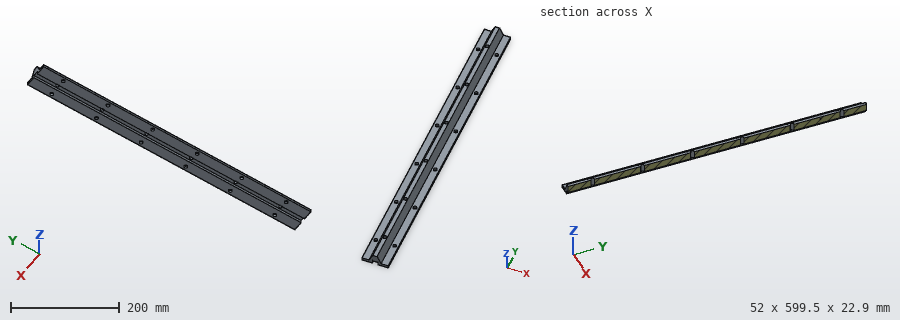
import cadquery as cq
import math


width = 52.0
length = 599.5
height = 22.9

flange_thickness = 6.0
web_side_angle = 25.0

shaft_radius = 10.0
seat_bottom_z = 22.0

slot_width = 11.0
slot_height = 6.5

hole_diameter = 6.6
flange_hole_spacing_x = 37.0
hole_pitch = 100.0
hole_count = 6
first_hole_from_end = 50.0


def rail_profile():
    """Flanged web with sloping sides, a round seat on its crest and a slot underneath."""
    shaft_centre_z = seat_bottom_z + shaft_radius
    half_crest = math.sqrt(shaft_radius**2 - (shaft_centre_z - height) ** 2)
    web_height = height - flange_thickness
    half_base = half_crest + web_height * math.tan(math.radians(web_side_angle))
    half_width = width / 2
    half_slot = slot_width / 2
    return (
        cq.Workplane("XZ")
        .moveTo(-half_width, 0)
        .lineTo(-half_width, flange_thickness)
        .lineTo(-half_base, flange_thickness)
        .lineTo(-half_crest, height)
        .threePointArc((0, seat_bottom_z), (half_crest, height))
        .lineTo(half_base, flange_thickness)
        .lineTo(half_width, flange_thickness)
        .lineTo(half_width, 0)
        .lineTo(half_slot, 0)
        .lineTo(half_slot, slot_height)
        .lineTo(-half_slot, slot_height)
        .lineTo(-half_slot, 0)
        .close()
    )


def hole_drills():
    """Drills for three rows of through holes: one in each flange and one along the seat."""
    first_y = -length / 2 + first_hole_from_end
    row_positions = (-flange_hole_spacing_x / 2, 0, flange_hole_spacing_x / 2)
    centres = [
        (x, first_y + i * hole_pitch)
        for x in row_positions
        for i in range(hole_count)
    ]
    return cq.Workplane("XY").pushPoints(centres).circle(hole_diameter / 2).extrude(height)


rail = rail_profile().extrude(length / 2, both=True)
result = rail.cut(hole_drills())